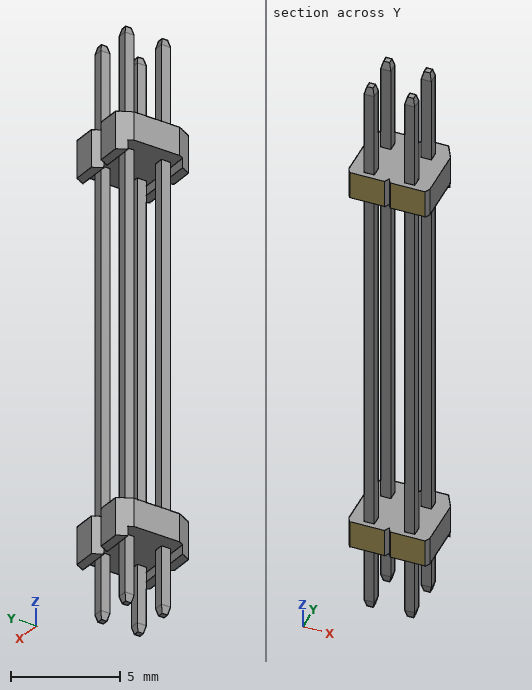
import cadquery as cq

PITCH = 2.0
PIN_COUNT = 2
PIN_WIDTH = 0.5
PIN_TIP_WIDTH = 0.3
PIN_TIP_LENGTH = 0.4
PIN_LENGTH = 30.5

BODY_SIZE = PITCH * PIN_COUNT
BODY_HEIGHT = 2.0
FOOT_HEIGHT = 0.5
FOOT_DEPTH = 0.5
CHAMFER_X = 0.4
CHAMFER_Y = 0.75

LOWER_OVERHANG = 3.0
UPPER_OVERHANG = 5.0

PIN_BOTTOM = -LOWER_OVERHANG
PIN_TOP = PIN_BOTTOM + PIN_LENGTH
LOWER_BODY_Z = 0.0
UPPER_BODY_Z = PIN_TOP - UPPER_OVERHANG - BODY_HEIGHT

GRID = [(i - (PIN_COUNT - 1) / 2) * PITCH for i in range(PIN_COUNT)]


def make_cell(x, base_z):
    """One column of the body: an elongated octagon extruded to full height."""
    half_x = PITCH / 2
    half_y = BODY_SIZE / 2
    flat_x = half_x - CHAMFER_X
    flat_y = half_y - CHAMFER_Y
    outline = [
        (flat_x, half_y),
        (half_x, flat_y),
        (half_x, -flat_y),
        (flat_x, -half_y),
        (-flat_x, -half_y),
        (-half_x, -flat_y),
        (-half_x, flat_y),
        (-flat_x, half_y),
    ]
    cell = cq.Workplane("XY").polyline(outline).close().extrude(BODY_HEIGHT)
    return cell.translate((x, 0, base_z))


def make_body(base_z):
    """Adjacent cells joined side by side, relieved below to leave feet at both Y ends."""
    body = make_cell(GRID[0], base_z)
    for x in GRID[1:]:
        body = body.union(make_cell(x, base_z))
    relief = (
        cq.Workplane("XY")
        .box(BODY_SIZE, BODY_SIZE - 2 * FOOT_DEPTH, FOOT_HEIGHT, centered=(True, True, False))
        .translate((0, 0, base_z))
    )
    return body.cut(relief)


def make_pin(x, y):
    """Square pin with a tapered tip at each end."""
    shaft_length = PIN_LENGTH - 2 * PIN_TIP_LENGTH
    shaft = cq.Workplane("XY").rect(PIN_WIDTH, PIN_WIDTH).extrude(shaft_length / 2, both=True)
    upper_tip = (
        cq.Workplane("XY")
        .workplane(offset=shaft_length / 2)
        .rect(PIN_WIDTH, PIN_WIDTH)
        .workplane(offset=PIN_TIP_LENGTH)
        .rect(PIN_TIP_WIDTH, PIN_TIP_WIDTH)
        .loft(ruled=True)
    )
    pin = shaft.union(upper_tip).union(upper_tip.mirror("XY"))
    return pin.translate((x, y, (PIN_BOTTOM + PIN_TOP) / 2))


result = make_body(LOWER_BODY_Z).union(make_body(UPPER_BODY_Z))
for pin_x in GRID:
    for pin_y in GRID:
        result = result.union(make_pin(pin_x, pin_y))